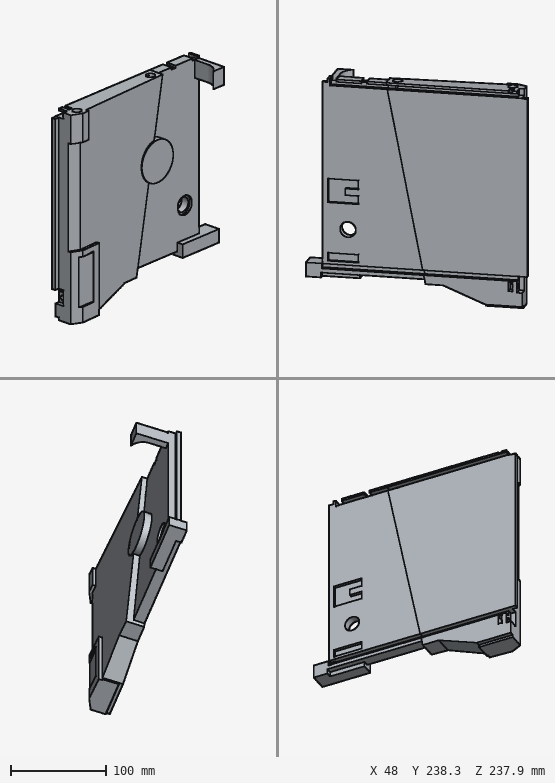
import cadquery as cq
import math

TOP_Z = 237.9
OVERALL_X = 48.0
LIP_THICK = 4.5
LIP_BOTTOM_Z = 35.7

GROOVE_DEPTH = 5.5
UPPER_GROOVE_BOTTOM_Z = 230.7
UPPER_GROOVE_TOP_Z = 235.2
LOWER_GROOVE_BOTTOM_Z = 30.3
UPPER_GROOVE_END_Y = 212.4
LOWER_GROOVE_END_Y = 221.2

JOINT_TOP_Y = 152.0
JOINT_BOTTOM_Y = 105.5

PLATE_THICK = 12.5
PLATE_END_Y = 215.2
PLATE_BOTTOM_Z = 25.7
REAR_LIP_END_Y = 220.5
REAR_LIP_TOP_Z = 234.3
TOP_GAPS = ((172.5, 178.7), (205.5, UPPER_GROOVE_END_Y))
FOOT_START_Y = 181.5
FOOT_END_Y = 238.3
FOOT_THICK = 19.8
FOOT_BOTTOM_Z = 20.3
RELIEF_END_Y = 222.1
RELIEF_DEPTH = 6.2
POCKET_START_Y = 181.8
POCKET_END_Y = 214.5
POCKET_DEPTH = 3.3
POCKETS_Z = ((39.0, 48.0), (103.0, 129.0))
TAB_END_Y = 195.7
TAB_Z = (112.0, 119.2)
PLATE_HOLE_Y = 193.0
PLATE_HOLE_Z = 74.5
PLATE_HOLE_DIA = 16.7
COUNTERBORE_DIA = 22.0
COUNTERBORE_X = 9.5

HOOK_TIP_X = OVERALL_X
HOOK_CURVE_X = 31.2
HOOK_FRONT_Y = 208.3
HOOK_TIP_Y = 198.3
HOOK_BOTTOM_Z = 214.7

FRONT_Y = 5.5
FRONT_LIP_TOP_Z = 230.2
JOINT_X = 18.4
BACK_ANGLE = 2.5
PAD_RISE = 3.5
CHAMFER_X = 6.2
CHAMFER_Y = 12.5
UPPER_PAD_BOTTOM_Z = 205.0
UPPER_PAD_END_Y = 27.5
LOWER_PAD_TOP_Z = 82.0
LOWER_PAD_END_Y = 44.3
PAD_POCKET_FLOOR_X = 25.7
PAD_POCKET_END_Y = 35.7
PAD_POCKET_Z = (17.9, 74.8)
WEDGE_BOTTOM_Z = 20.5
SLANT_START_Y = 90.5
SLANT_END_Y = 45.5
BASE_STEP_Z = 2.9
BOSS_Y = 141.5
BOSS_Z = 143.0
BOSS_DIA = 48.6
BOSS_TOP_X = 20.7
TOP_HOLES = ((10.5, 141.8), (17.9, 19.5))
TOP_HOLE_DIA = 10.2
TOP_HOLE_DEPTH = 23.8
NOTCH_DEPTH = 11.0
NOTCH_END_Y = 11.0
LOWER_NOTCH_BOTTOM_Z = 17.9
SCREW_X = 5.5
SCREW_Z = 23.8
SCREW_DIA = 5.7
NUT_Y = (16.0, 20.5)
NUT_WIDTH = 9.8
NUT_HALF_ANGLE = math.radians(30)
TOP_NUT_DEPTH = 9.3
TOP_NUT_FLOOR_X = 8.0
TOP_NUT_FLOOR_Z = 236.7


def block(x_range, y_range, z_range):
    """Axis-aligned block from its three coordinate ranges."""
    (x0, x1), (y0, y1), (z0, z1) = x_range, y_range, z_range
    return cq.Workplane("XY").box(x1 - x0, y1 - y0, z1 - z0, centered=False).translate((x0, y0, z0))


def behind_joint():
    """Everything on the rear side of the inclined joint."""
    return (
        cq.Workplane("YZ")
        .polyline([
            (JOINT_BOTTOM_Y, 0),
            (FOOT_END_Y, 0),
            (FOOT_END_Y, TOP_Z),
            (JOINT_TOP_Y, TOP_Z),
        ])
        .close()
        .extrude(OVERALL_X)
    )


def guide_grooves():
    """Upper and lower grooves, running forward to the corner notches and past them."""
    upper = block((0, GROOVE_DEPTH), (0, UPPER_GROOVE_END_Y), (UPPER_GROOVE_BOTTOM_Z, UPPER_GROOVE_TOP_Z))
    lower = block((0, GROOVE_DEPTH), (0, LOWER_GROOVE_END_Y), (LOWER_GROOVE_BOTTOM_Z, LIP_BOTTOM_Z))
    return upper.union(lower)


def plate_foot():
    """Rear foot, relieved on its outer face below the plate."""
    foot = block((0, FOOT_THICK), (FOOT_START_Y, FOOT_END_Y), (FOOT_BOTTOM_Z, LIP_BOTTOM_Z))
    relief = block((0, RELIEF_DEPTH), (FOOT_START_Y, RELIEF_END_Y), (FOOT_BOTTOM_Z, PLATE_BOTTOM_Z))
    return foot.cut(relief)


def hook():
    """Hook standing off the back of the plate, with a concave curve up to its tip."""
    run = HOOK_TIP_X - HOOK_CURVE_X
    drop = HOOK_FRONT_Y - HOOK_TIP_Y
    radius = (run**2 + drop**2) / (2 * drop)
    half_sweep = math.asin(run / radius) / 2
    curve_mid = (
        HOOK_CURVE_X + radius * math.sin(half_sweep),
        HOOK_FRONT_Y - radius * (1 - math.cos(half_sweep)),
    )
    return (
        cq.Workplane("XY", origin=(0, 0, HOOK_BOTTOM_Z))
        .moveTo(GROOVE_DEPTH, PLATE_END_Y)
        .lineTo(GROOVE_DEPTH, HOOK_FRONT_Y)
        .lineTo(HOOK_CURVE_X, HOOK_FRONT_Y)
        .threePointArc(curve_mid, (HOOK_TIP_X, HOOK_TIP_Y))
        .lineTo(HOOK_TIP_X, PLATE_END_Y)
        .close()
        .extrude(UPPER_GROOVE_TOP_Z - HOOK_BOTTOM_Z)
    )


def plate_pockets():
    """Two shallow pockets in the outer face, the upper one around a tab."""
    pockets = cq.Workplane("XY")
    for z_range in POCKETS_Z:
        pockets = pockets.union(block((0, POCKET_DEPTH), (POCKET_START_Y, POCKET_END_Y), z_range))
    return pockets.cut(block((0, POCKET_DEPTH), (POCKET_START_Y, TAB_END_Y), TAB_Z))


def plate_hole():
    """Through hole with a counterbore from the back face."""
    hole = (
        cq.Workplane("YZ")
        .center(PLATE_HOLE_Y, PLATE_HOLE_Z)
        .circle(PLATE_HOLE_DIA / 2)
        .extrude(PLATE_THICK)
    )
    counterbore = (
        cq.Workplane("YZ", origin=(COUNTERBORE_X, 0, 0))
        .center(PLATE_HOLE_Y, PLATE_HOLE_Z)
        .circle(COUNTERBORE_DIA / 2)
        .extrude(PLATE_THICK - COUNTERBORE_X)
    )
    return hole.union(counterbore)


def make_rear_plate():
    """Rear body: thick plate with its lip, foot, hook and pockets."""
    plate = block((0, PLATE_THICK), (JOINT_BOTTOM_Y, PLATE_END_Y), (PLATE_BOTTOM_Z, TOP_Z))
    rear_lip = block((0, LIP_THICK), (PLATE_END_Y, REAR_LIP_END_Y), (LIP_BOTTOM_Z, REAR_LIP_TOP_Z))
    plate = plate.union(plate_foot()).cut(guide_grooves()).union(rear_lip)
    for y_range in TOP_GAPS:
        plate = plate.cut(block((0, PLATE_THICK), y_range, (UPPER_GROOVE_TOP_Z, TOP_Z)))
    return plate.union(hook()).cut(plate_pockets()).cut(plate_hole()).intersect(behind_joint())


def back_x(y):
    """Position of the tapered back face of the wedge at a given y."""
    return JOINT_X + (JOINT_TOP_Y - y) * math.tan(math.radians(BACK_ANGLE))


def wedge_section(end_y, rise, bottom_z, top_z):
    """Tapered section up to end_y with a chamfered front corner, raised by `rise` at the back."""
    corner_y = FRONT_Y + CHAMFER_Y
    corner_x = back_x(corner_y) + rise
    return (
        cq.Workplane("XY", origin=(0, 0, bottom_z))
        .polyline([
            (0, FRONT_Y),
            (corner_x - CHAMFER_X, FRONT_Y),
            (corner_x, corner_y),
            (back_x(end_y) + rise, end_y),
            (0, end_y),
        ])
        .close()
        .extrude(top_z - bottom_z)
    )


def wedge_side_outline():
    """Side outline of the wedge with its stepped-down front base."""
    return (
        cq.Workplane("YZ")
        .polyline([
            (0, 0),
            (SLANT_END_Y, 0),
            (SLANT_END_Y, BASE_STEP_Z),
            (SLANT_START_Y, WEDGE_BOTTOM_Z),
            (JOINT_TOP_Y, WEDGE_BOTTOM_Z),
            (JOINT_TOP_Y, TOP_Z),
            (0, TOP_Z),
        ])
        .close()
        .extrude(OVERALL_X)
    )


def corner_notches():
    """Front corner notches at the ends of both grooves."""
    upper = block((0, NOTCH_DEPTH), (0, NOTCH_END_Y), (UPPER_GROOVE_BOTTOM_Z, TOP_Z))
    lower = block((0, NOTCH_DEPTH), (0, NOTCH_END_Y), (LOWER_NOTCH_BOTTOM_Z, LIP_BOTTOM_Z))
    return upper.union(lower)


def nut_slots():
    """Lower nut slot ending in two hexagon flats, and a shallow upper slot with a sloped end."""
    half_width = NUT_WIDTH / 2
    flat_end_x = SCREW_X + half_width * math.tan(NUT_HALF_ANGLE)
    tip_x = SCREW_X + half_width / math.cos(NUT_HALF_ANGLE)
    slot_length = NUT_Y[1] - NUT_Y[0]
    profile_plane = cq.Workplane("XZ", origin=(0, NUT_Y[1], 0))
    lower = (
        profile_plane
        .polyline([
            (0, SCREW_Z - half_width),
            (flat_end_x, SCREW_Z - half_width),
            (tip_x, SCREW_Z),
            (flat_end_x, SCREW_Z + half_width),
            (0, SCREW_Z + half_width),
        ])
        .close()
        .extrude(slot_length)
    )
    upper = (
        profile_plane
        .polyline([
            (0, TOP_Z),
            (TOP_NUT_DEPTH, TOP_Z),
            (TOP_NUT_FLOOR_X, TOP_NUT_FLOOR_Z),
            (0, TOP_NUT_FLOOR_Z),
        ])
        .close()
        .extrude(slot_length)
    )
    return lower.union(upper)


def wedge_holes():
    """Blind holes in the top face and the screw hole into the lower nut slot."""
    top_holes = (
        cq.Workplane("XY", origin=(0, 0, TOP_Z))
        .pushPoints(TOP_HOLES)
        .circle(TOP_HOLE_DIA / 2)
        .extrude(-TOP_HOLE_DEPTH)
    )
    screw_hole = (
        cq.Workplane("XZ", origin=(SCREW_X, NUT_Y[1], SCREW_Z))
        .circle(SCREW_DIA / 2)
        .extrude(NUT_Y[1] - NOTCH_END_Y)
    )
    return top_holes.union(screw_hole)


def make_front_wedge():
    """Front body: tapered wedge with grip pads, corner notches, front lip and boss."""
    upper_pad = wedge_section(UPPER_PAD_END_Y, PAD_RISE, UPPER_PAD_BOTTOM_Z, TOP_Z)
    lower_pad = wedge_section(LOWER_PAD_END_Y, PAD_RISE, 0, LOWER_PAD_TOP_Z)
    wedge = wedge_section(JOINT_TOP_Y, 0, 0, TOP_Z).union(upper_pad).union(lower_pad)
    wedge = wedge.intersect(wedge_side_outline()).cut(behind_joint())
    wedge = wedge.cut(block((0, LIP_THICK), (0, SLANT_END_Y), (0, BASE_STEP_Z)))
    wedge = wedge.cut(block((PAD_POCKET_FLOOR_X, OVERALL_X), (0, PAD_POCKET_END_Y), PAD_POCKET_Z))
    wedge = wedge.cut(corner_notches()).cut(guide_grooves()).cut(nut_slots())
    front_lip = block((0, LIP_THICK), (0, FRONT_Y), (LIP_BOTTOM_Z, FRONT_LIP_TOP_Z))
    boss = (
        cq.Workplane("YZ", origin=(PLATE_THICK, 0, 0))
        .center(BOSS_Y, BOSS_Z)
        .circle(BOSS_DIA / 2)
        .extrude(BOSS_TOP_X - PLATE_THICK)
    )
    return wedge.union(front_lip).union(boss).cut(wedge_holes())


rear_plate = make_rear_plate()
front_wedge = make_front_wedge()
result = cq.Compound.makeCompound([rear_plate.val(), front_wedge.val()])